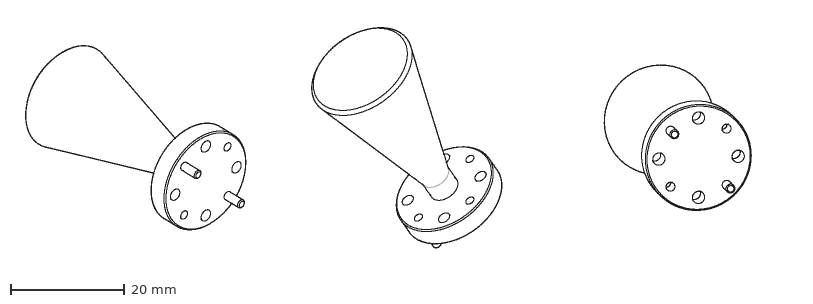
import cadquery as cq
import math

total_length = 41.95
pin_protrusion = 3.85
flange_thickness = 4.05
neck_length = 3.7
flange_back_x = total_length - pin_protrusion
flange_front_x = flange_back_x - flange_thickness
neck_front_x = flange_front_x - neck_length

mouth_diameter = 19.73
neck_diameter = 5.4
mouth_bevel = 0.65
mouth_face_diameter = mouth_diameter - 2 * mouth_bevel

flange_diameter = 19.05
flange_chamfer = 0.25

hole_circle_radius = 7.15
screw_hole_diameter = 2.2
pin_diameter = 1.6
pin_chamfer = 0.2
screw_hole_angles = [0, 90, 180, 270]
open_pin_hole_angles = [45, 225]
pin_angles = [135, 315]


def circle_point(angle):
    """Return the (Y, Z) place on the hole circle; the angle runs from +Y towards +Z."""
    turn = math.radians(angle)
    return hole_circle_radius * math.cos(turn), hole_circle_radius * math.sin(turn)


def rod(start_x, length, diameter, angle):
    """Make a cylinder parallel to X, centred on the hole circle."""
    return (
        cq.Workplane("YZ", origin=(start_x, 0, 0))
        .center(*circle_point(angle))
        .circle(diameter / 2)
        .extrude(length)
    )


def make_horn_body():
    """Revolve the bevelled mouth, the taper and the neck about X."""
    return (
        cq.Workplane("XZ")
        .moveTo(0, 0)
        .lineTo(0, mouth_face_diameter / 2)
        .lineTo(mouth_bevel, mouth_diameter / 2)
        .lineTo(neck_front_x, neck_diameter / 2)
        .lineTo(flange_front_x, neck_diameter / 2)
        .lineTo(flange_front_x, 0)
        .close()
        .revolve(360, (0, 0, 0), (1, 0, 0))
    )


def make_flange():
    """Make the flange disc with both rims chamfered and its through holes."""
    flange = (
        cq.Workplane("YZ", origin=(flange_front_x, 0, 0))
        .circle(flange_diameter / 2)
        .extrude(flange_thickness)
        .edges()
        .chamfer(flange_chamfer)
    )
    for angle in screw_hole_angles:
        flange = flange.cut(rod(flange_front_x, flange_thickness, screw_hole_diameter, angle))
    for angle in open_pin_hole_angles + pin_angles:
        flange = flange.cut(rod(flange_front_x, flange_thickness, pin_diameter, angle))
    return flange


def make_pin(angle):
    """Make a pin flush with the flange front, with a chamfered tip behind the flange."""
    pin_length = flange_thickness + pin_protrusion
    pin = rod(flange_front_x, pin_length, pin_diameter, angle)
    return pin.faces(">X").chamfer(pin_chamfer)


horn = make_horn_body().union(make_flange())
pins = [make_pin(angle) for angle in pin_angles]

result = cq.Compound.makeCompound([horn.val(), *[pin.val() for pin in pins]])